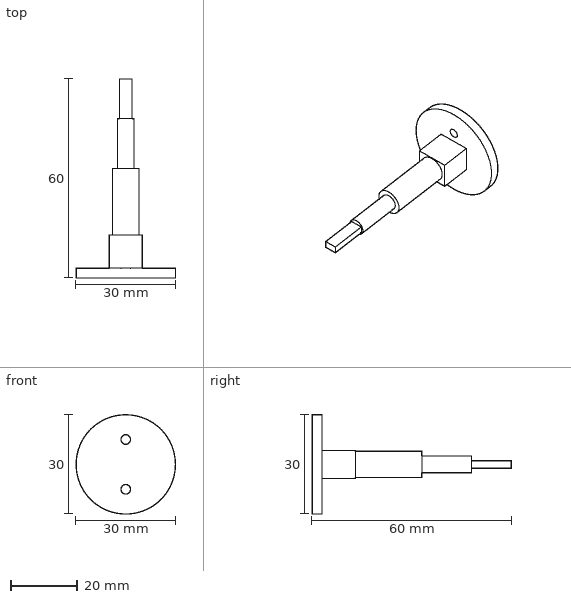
import cadquery as cq

total_length = 60.0
disc_thickness = 3.0
block_length = 10.0
tip_length = 12.0
neck_length = 15.0
shaft_length = total_length - disc_thickness - block_length - neck_length - tip_length

disc_diameter = 30.0
block_width = 10.0
block_height = 8.5
shaft_diameter = 8.05
neck_diameter = 5.1
tip_width = 3.85
tip_height = 2.35

hole_diameter = 2.8
hole_spacing = disc_diameter / 2

block_start = disc_thickness
shaft_start = block_start + block_length
neck_start = shaft_start + shaft_length
tip_start = neck_start + neck_length


def cylinder(start, length, diameter):
    """Round section on the Y axis, extending toward +Y."""
    plane = cq.Workplane("XZ", origin=(0, start, 0))
    return plane.circle(diameter / 2).extrude(-length)


def bar(start, length, width, height):
    """Rectangular section on the Y axis, extending toward +Y."""
    plane = cq.Workplane("XZ", origin=(0, start, 0))
    return plane.rect(width, height).extrude(-length)


def drilled_disc():
    """Flange disc with a hole above and below its centre."""
    holes = (
        cq.Workplane("XZ")
        .pushPoints([(0, hole_spacing / 2), (0, -hole_spacing / 2)])
        .circle(hole_diameter / 2)
        .extrude(-disc_thickness)
    )
    return cylinder(0, disc_thickness, disc_diameter).cut(holes)


result = (
    drilled_disc()
    .union(bar(block_start, block_length, block_width, block_height))
    .union(cylinder(shaft_start, shaft_length, shaft_diameter))
    .union(cylinder(neck_start, neck_length, neck_diameter))
    .union(bar(tip_start, tip_length, tip_width, tip_height))
)